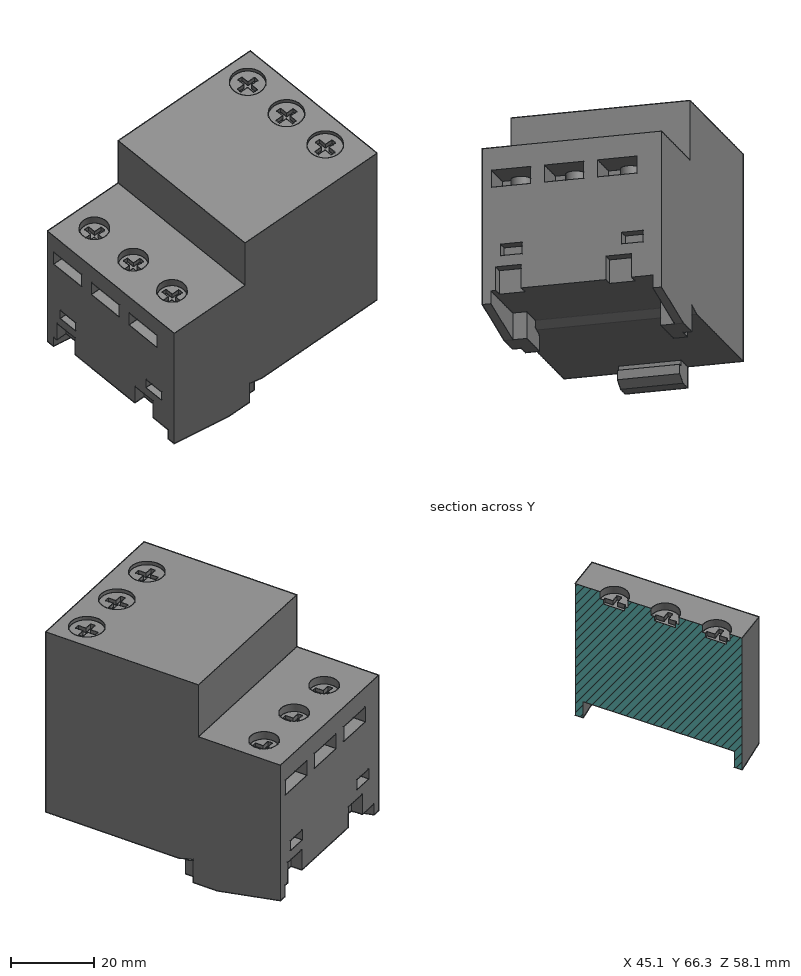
import cadquery as cq


WIDTH = 45.15
LENGTH = 66.3
HEIGHT = 58.15
STEP_Y = 23.15
STEP_Z = 43.0
BASE_Z = 5.65

FOOT_BACK_Y = 24.65
FOOT_FLAT_Y = 17.8
FOOT_TOE_Z = 3.5
FOOT_SKIN = 2.2
FOOT_THICKNESS = 5.7
CAVITY_ROOF_Z = 6.75
ROOF_RAMP_END_Y = 28.6

HOOK_FRONT_Y = FOOT_FLAT_Y
HOOK_TIP_Y = 28.2
HOOK_TIP_Z = 4.05
HOOK_ROOT_Z = 5.05

CLIP_WIDTH = 15.7
CLIP_X = 0.7
CLIP_NECK_Y = 60.9
CLIP_TIP_Y = 59.8
CLIP_TOP_Z = 4.25
CLIP_CHAMFER_Z = 1.85
CLIP_CHAMFER_Y = 62.45
CLIP_BOTTOM_Z = 0.25

POLES = 3
SCREW_PITCH = 13.8
FIRST_SCREW_INSET = 7.0
FIRST_SCREW_X = FIRST_SCREW_INSET - WIDTH / 2
FRONT_SCREW_Y = 8.95
REAR_SCREW_Y = 59.0
FRONT_RECESS_DIAMETER = 7.35
REAR_RECESS_DIAMETER = 8.8
FRONT_RECESS_DEPTH = 2.2
REAR_RECESS_DEPTH = 1.0
CROSS_LENGTH = 5.6
CROSS_WIDTH = 1.25
CROSS_DEPTH = 1.3
SHANK_DIAMETER = 5.0

WINDOW_WIDTH = 9.9
WINDOW_PITCH = 13.4
FIRST_WINDOW_INSET = 7.2
FIRST_WINDOW_X = FIRST_WINDOW_INSET - WIDTH / 2
WINDOW_BOTTOM_Z = 33.0
WINDOW_HEIGHT = 4.3

POCKET_WIDTH = 5.45
POCKET_HEIGHT = 2.9
POCKET_BOTTOM_Z = 15.45
POCKET_X = 15.25
POCKET_DEPTH = 3.0
NOTCH_WIDTH = 6.4
NOTCH_TOP_Z = 12.7
NOTCH_HEIGHT = NOTCH_TOP_Z - CAVITY_ROOF_Z
NOTCH_XS = (-16.0, 11.8)
NOTCH_DEPTH = 3.05


def side_extrusion(profile, x_min, x_max):
    """Extrude a closed (Y, Z) outline between two X positions."""
    return cq.Workplane("YZ", origin=(x_min, 0, 0)).polyline(profile).close().extrude(x_max - x_min)


def front_pocket(x_centre, width, z_bottom, height, depth):
    """A rectangular block that enters the front face."""
    block = cq.Workplane("XY").box(width, depth, height, centered=(True, False, False))
    return block.translate((x_centre, 0, z_bottom))


def make_body():
    profile = [
        (0, CAVITY_ROOF_Z),
        (0, STEP_Z),
        (STEP_Y, STEP_Z),
        (STEP_Y, HEIGHT),
        (LENGTH, HEIGHT),
        (LENGTH, BASE_Z),
        (ROOF_RAMP_END_Y, BASE_Z),
        (FOOT_BACK_Y, CAVITY_ROOF_Z),
    ]
    return side_extrusion(profile, -WIDTH / 2, WIDTH / 2)


def make_left_foot():
    skin_profile = [
        (0, CAVITY_ROOF_Z),
        (0, FOOT_TOE_Z),
        (FOOT_FLAT_Y, 0),
        (FOOT_BACK_Y, 0),
        (FOOT_BACK_Y, CAVITY_ROOF_Z),
    ]
    hook_profile = [
        (HOOK_FRONT_Y, CAVITY_ROOF_Z),
        (HOOK_FRONT_Y, 0),
        (HOOK_TIP_Y, 0),
        (HOOK_TIP_Y, HOOK_TIP_Z),
        (FOOT_BACK_Y, HOOK_ROOT_Z),
        (FOOT_BACK_Y, CAVITY_ROOF_Z),
    ]
    outer_x = -WIDTH / 2
    skin = side_extrusion(skin_profile, outer_x, outer_x + FOOT_SKIN)
    hook = side_extrusion(hook_profile, outer_x + FOOT_SKIN, outer_x + FOOT_THICKNESS)
    return skin.union(hook)


def make_clip():
    profile = [
        (LENGTH, BASE_Z),
        (CLIP_NECK_Y, BASE_Z),
        (CLIP_NECK_Y, CLIP_TOP_Z),
        (CLIP_TIP_Y, CLIP_TOP_Z),
        (CLIP_TIP_Y, CLIP_CHAMFER_Z),
        (CLIP_CHAMFER_Y, CLIP_BOTTOM_Z),
        (LENGTH, CLIP_BOTTOM_Z),
    ]
    return side_extrusion(profile, CLIP_X - CLIP_WIDTH / 2, CLIP_X + CLIP_WIDTH / 2)


def screw_recess(x, y, z_top, diameter, depth):
    """A round recess with a cross slot sunk into its floor."""
    floor = cq.Workplane("XY", origin=(x, y, z_top - depth))
    recess = floor.circle(diameter / 2).extrude(depth)
    slot_x = floor.rect(CROSS_LENGTH, CROSS_WIDTH).extrude(-CROSS_DEPTH)
    slot_y = floor.rect(CROSS_WIDTH, CROSS_LENGTH).extrude(-CROSS_DEPTH)
    return recess.union(slot_x).union(slot_y)


def wire_window(x_window, x_screw):
    """A window that ends at the screw axis, where half of the shank stands proud of its back wall."""
    opening = front_pocket(x_window, WINDOW_WIDTH, WINDOW_BOTTOM_Z, WINDOW_HEIGHT, FRONT_SCREW_Y)
    shank = (
        cq.Workplane("XY", origin=(x_screw, FRONT_SCREW_Y, WINDOW_BOTTOM_Z))
        .circle(SHANK_DIAMETER / 2)
        .extrude(WINDOW_HEIGHT)
    )
    return opening.cut(shank)


left_foot = make_left_foot()
result = make_body().union(left_foot).union(left_foot.mirror("YZ")).union(make_clip())

for pole in range(POLES):
    screw_x = FIRST_SCREW_X + pole * SCREW_PITCH
    window_x = FIRST_WINDOW_X + pole * WINDOW_PITCH
    result = result.cut(
        screw_recess(screw_x, FRONT_SCREW_Y, STEP_Z, FRONT_RECESS_DIAMETER, FRONT_RECESS_DEPTH)
    )
    result = result.cut(
        screw_recess(screw_x, REAR_SCREW_Y, HEIGHT, REAR_RECESS_DIAMETER, REAR_RECESS_DEPTH)
    )
    result = result.cut(wire_window(window_x, screw_x))

for pocket_x in (-POCKET_X, POCKET_X):
    result = result.cut(
        front_pocket(pocket_x, POCKET_WIDTH, POCKET_BOTTOM_Z, POCKET_HEIGHT, POCKET_DEPTH)
    )

for notch_x in NOTCH_XS:
    result = result.cut(
        front_pocket(notch_x, NOTCH_WIDTH, CAVITY_ROOF_Z, NOTCH_HEIGHT, NOTCH_DEPTH)
    )